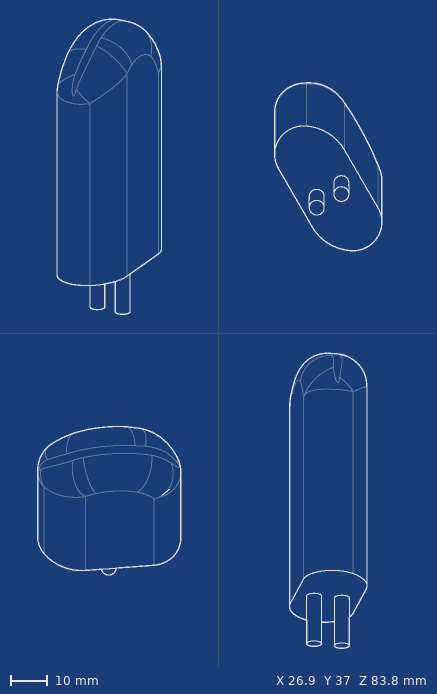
import cadquery as cq
import math

body_height = 69.84
arch_radius = 20.0
body_thickness = 18.3
edge_radius = 8.0
body_turn = -59.0

tight_corner_start = 11.55
tight_corner_radius = 8.0
wide_corner_start = 7.2

pin_diameter = 4.1
pin_length = 14.0
pin_spacing = 7.75
pin_offset = -0.45
pin_overlap = 1.0

half_thickness = body_thickness / 2
arch_center_height = body_height - arch_radius


def arched_slab():
    """Slab with a semicircular top and sharp edges, facing local Y."""
    return (
        cq.Workplane("XZ")
        .moveTo(-arch_radius, 0)
        .lineTo(arch_radius, 0)
        .lineTo(arch_radius, arch_center_height)
        .threePointArc((0, body_height), (-arch_radius, arch_center_height))
        .close()
        .extrude(half_thickness, both=True)
    )


def plan_prism():
    """Upright prism on the plan outline, which looks the same after half a turn.

    Each rounded end is a tight arc running smoothly into a wide one, both tangent to the flat faces.
    """
    tight_x = tight_corner_start
    tight_y = tight_corner_radius - half_thickness
    wide_x = wide_corner_start
    center_gap = tight_x - wide_x
    face_gap = body_thickness - tight_corner_radius
    wide_radius = (face_gap**2 + center_gap**2 - tight_corner_radius**2) / (
        2 * (face_gap - tight_corner_radius)
    )
    wide_y = half_thickness - wide_radius
    join_angle = math.atan2(tight_y - wide_y, center_gap)
    join = (wide_x + wide_radius * math.cos(join_angle), wide_y + wide_radius * math.sin(join_angle))
    wide_middle_angle = (join_angle + math.pi / 2) / 2
    wide_middle = (
        wide_x + wide_radius * math.cos(wide_middle_angle),
        wide_y + wide_radius * math.sin(wide_middle_angle),
    )
    tight_middle = (tight_x + tight_corner_radius, tight_y)

    def half_turned(point):
        return (-point[0], -point[1])

    face_start = (-wide_x, -half_thickness)
    face_end = (tight_x, -half_thickness)
    return (
        cq.Workplane("XY")
        .moveTo(*face_start)
        .lineTo(*face_end)
        .threePointArc(tight_middle, join)
        .threePointArc(wide_middle, half_turned(face_start))
        .lineTo(*half_turned(face_end))
        .threePointArc(half_turned(tight_middle), half_turned(join))
        .threePointArc(half_turned(wide_middle), face_start)
        .close()
        .extrude(body_height)
    )


def pins():
    """Two round pins hanging below the body."""
    return (
        cq.Workplane("XY", origin=(0, 0, pin_overlap))
        .pushPoints([(pin_offset, side * pin_spacing / 2) for side in (1, -1)])
        .circle(pin_diameter / 2)
        .extrude(-(pin_length + pin_overlap))
    )


sharp_body = arched_slab().intersect(plan_prism())
body = sharp_body.faces("<Y or >Y").edges("%CIRCLE").fillet(edge_radius)
result = body.union(pins()).rotate((0, 0, 0), (0, 0, 1), body_turn)